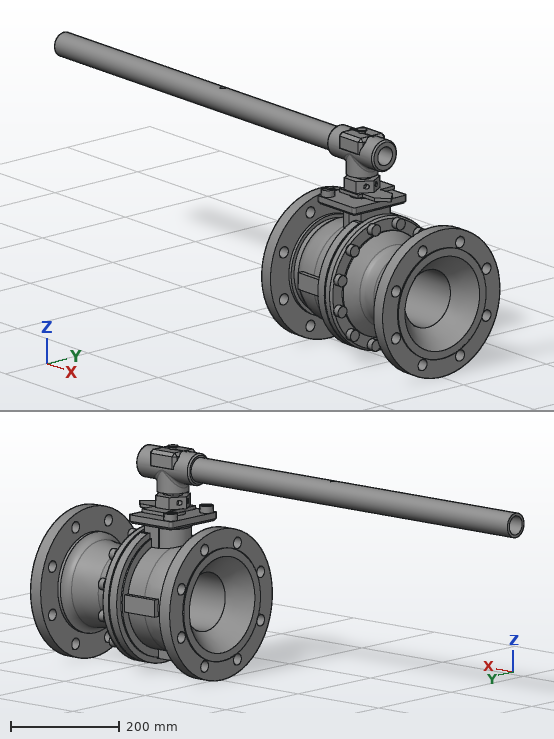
import cadquery as cq
import math


overall_length = 1078.0
overall_height = 426.0
face_to_face = 350.0
inlet_face_x = -122.0
outlet_face_x = inlet_face_x + face_to_face
handle_end_x = outlet_face_x - overall_length

flange_radius = 285.0 / 2
flange_thickness = 28.0
raised_face_radius = 212.0 / 2
raised_face_height = 2.7
flange_hole_diameter = 22.0
flange_hole_circle_radius = 119.0
flange_hole_count = 8
inlet_flange_back_x = inlet_face_x + flange_thickness
outlet_flange_back_x = outlet_face_x - flange_thickness

bore_radius = 111.0 / 2
mouth_radius = 181.0 / 2
mouth_depth = 42.0

inlet_hub_radius = 195.0 / 2
inlet_hub_end_x = inlet_flange_back_x + 6.0
throat_radius = 91.0
throat_end_x = -75.0
body_radius = 203.0 / 2
body_shoulder_x = -19.0
collar_radius = 116.0
collar_length = 3.0

joint_radius = 128.0
joint_start_x = 25.0
joint_split_x = 44.0
joint_end_x = 63.0
joint_edge_chamfer = 4.0
joint_groove_width = 2.0
joint_groove_depth = 3.0
joint_flat_z = 121.0
bolt_count = 12
bolt_circle_radius = 115.0
bolt_head_diameter = 22.0
bolt_head_height = 13.0

shoulder_radius = 101.0
shoulder_end_x = 66.0
cone_end_x = 87.0
cone_end_radius = shoulder_radius - (cone_end_x - shoulder_end_x)
waist_radius = 73.0
waist_x = 120.0
taper_end_radius = 82.0
taper_end_x = 178.0
outlet_hub_radius = 190.0 / 2
outlet_hub_start_x = 194.0

pad_width = 32.0
side_pad_start_x = -53.0
side_pad_reach = 110.0
bottom_pad_start_x = -20.0
bottom_pad_reach = 118.0

neck_diameter = 69.0
neck_flare = 8.0
neck_block_start_x = -3.0
neck_block_end_x = 39.0
neck_block_width = 71.0
neck_block_chamfer = 8.0
plate_bottom_z = 140.0
plate_top_z = 156.0
plate_length = 106.0
plate_width = 128.0
plate_corner_radius = 5.0
plate_bottom_chamfer = 4.0
screw_x = -39.0
screw_y = 50.0
screw_head_diameter = 26.0
screw_head_height = 13.0
screw_slot_width = 6.0
screw_slot_depth = 6.0
screw_slot_angle = 45

gland_diameter = 46.0
stop_plate_bottom_z = 163.0
stop_plate_top_z = 169.0
stop_plate_half_length = 27.0
stop_plate_half_width = 32.0
stop_wing_reach = 56.0
pointer_half_width = 22.0
pointer_tip_x = 83.0
nut_across_flats = 58.0
nut_top_z = 192.0
nut_hole_diameter = 9.0
nut_hole_depth = 13.0
nut_hole_y = 12.0
nut_hole_z = 181.0
stem_diameter = 36.0
stem_width_across_flats = 26.0

lever_axis_z = 247.0
lever_bottom_z = 198.0
head_diameter = 60.0
head_half_length = 66.0
head_edge_chamfer = 3.0
post_diameter = 59.0
post_blend_radius = 9.0
seam_margin = 1.0
block_length = 66.0
block_width = 64.0
block_bottom_z = 247.0
block_top_z = lever_axis_z + head_diameter / 2
block_chamfer = 6.0
slit_width = 1.6
slit_depth = 2.0
handle_diameter = 46.0
handle_bore_diameter = 36.0
handle_hole_x = handle_end_x + 453.0
handle_hole_diameter = 10.1
pin_diameter = 12.0
pin_head_diameter = 18.0
pin_head_height = 2.0
pin_top_z = overall_height - flange_radius


def x_cylinder(start_x, end_x, diameter, z):
    """Cylinder along X, centred on Y = 0 at the given height."""
    plane = cq.Workplane("YZ", origin=(start_x, 0, z))
    return plane.circle(diameter / 2).extrude(end_x - start_x)


def z_cylinder(bottom_z, top_z, diameter, x=0.0, y=0.0):
    """Cylinder along Z."""
    plane = cq.Workplane("XY", origin=(x, y, bottom_z))
    return plane.circle(diameter / 2).extrude(top_z - bottom_z)


def centred_box(start_x, end_x, width, bottom_z, top_z):
    """Box that is symmetric about Y = 0."""
    plane = cq.Workplane("XY", origin=((start_x + end_x) / 2, 0, bottom_z))
    return plane.rect(end_x - start_x, width).extrude(top_z - bottom_z)


def revolve_about_bore(outline):
    """Close an outline that starts and ends on the X axis and turn it about that axis."""
    return outline.close().revolve(360, (0, 0, 0), (1, 0, 0))


def circle_of_pegs(start_x, length, circle_radius, diameter, count):
    """Cylinders along X around the bore, straddling the vertical centre plane."""
    half_step = 180 / count
    return (
        cq.Workplane("YZ", origin=(start_x, 0, 0))
        .polarArray(circle_radius, half_step, 360, count)
        .circle(diameter / 2)
        .extrude(length)
    )


def make_valve_outside():
    """Turned outside of body, bolted joint and end piece."""
    inlet_step_x = inlet_face_x + raised_face_height
    outlet_step_x = outlet_face_x - raised_face_height
    groove_start_x = joint_split_x - joint_groove_width / 2
    groove_end_x = joint_split_x + joint_groove_width / 2
    groove_radius = joint_radius - joint_groove_depth

    outline = (
        cq.Workplane("XY")
        .moveTo(inlet_face_x, 0)
        .lineTo(inlet_face_x, raised_face_radius)
        .lineTo(inlet_step_x, raised_face_radius)
        .lineTo(inlet_step_x, flange_radius)
        .lineTo(inlet_flange_back_x, flange_radius)
        .lineTo(inlet_flange_back_x, inlet_hub_radius)
        .lineTo(inlet_hub_end_x, inlet_hub_radius)
        .lineTo(inlet_hub_end_x, throat_radius)
        .lineTo(throat_end_x, throat_radius)
        .spline([(body_shoulder_x, body_radius)], tangents=[(1, 1), (1, 0)], includeCurrent=True)
        .lineTo(joint_start_x - collar_length, body_radius)
        .lineTo(joint_start_x - collar_length, collar_radius)
        .lineTo(joint_start_x, collar_radius)
        .lineTo(joint_start_x, joint_radius)
        .lineTo(groove_start_x, joint_radius)
        .lineTo(groove_start_x, groove_radius)
        .lineTo(groove_end_x, groove_radius)
        .lineTo(groove_end_x, joint_radius)
        .lineTo(joint_end_x - joint_edge_chamfer, joint_radius)
        .lineTo(joint_end_x, joint_radius - joint_edge_chamfer)
        .lineTo(joint_end_x, shoulder_radius)
        .lineTo(shoulder_end_x, shoulder_radius)
        .lineTo(cone_end_x, cone_end_radius)
        .spline([(waist_x, waist_radius)], tangents=[(1, -1), (1, 0)], includeCurrent=True)
        .lineTo(taper_end_x, taper_end_radius)
        .tangentArcPoint((outlet_hub_start_x, outlet_hub_radius), relative=False)
        .lineTo(outlet_flange_back_x, outlet_hub_radius)
        .lineTo(outlet_flange_back_x, flange_radius)
        .lineTo(outlet_step_x, flange_radius)
        .lineTo(outlet_step_x, raised_face_radius)
        .lineTo(outlet_face_x, raised_face_radius)
        .lineTo(outlet_face_x, 0)
    )
    joint_flat = centred_box(
        joint_start_x - collar_length, joint_split_x, 2 * joint_radius, joint_flat_z, joint_radius
    )
    return revolve_about_bore(outline).cut(joint_flat)


def make_flow_passage():
    """Straight bore with a conical mouth at both ends."""
    outline = (
        cq.Workplane("XY")
        .moveTo(inlet_face_x, 0)
        .lineTo(inlet_face_x, mouth_radius)
        .lineTo(inlet_face_x + mouth_depth, bore_radius)
        .lineTo(outlet_face_x - mouth_depth, bore_radius)
        .lineTo(outlet_face_x, mouth_radius)
        .lineTo(outlet_face_x, 0)
    )
    return revolve_about_bore(outline)


def make_flange_holes():
    """Bolt holes through both end flanges."""
    holes = cq.Workplane("XY")
    for start_x in (inlet_face_x, outlet_flange_back_x):
        holes = holes.add(
            circle_of_pegs(
                start_x,
                flange_thickness,
                flange_hole_circle_radius,
                flange_hole_diameter,
                flange_hole_count,
            )
        )
    return holes.combine()


def make_body_pads():
    """Flat pads on both sides and the underside of the body."""
    half_width = pad_width / 2
    side_pads = centred_box(
        side_pad_start_x, joint_start_x, 2 * side_pad_reach, -half_width, half_width
    )
    bottom_pad = centred_box(bottom_pad_start_x, joint_start_x, pad_width, -bottom_pad_reach, 0)
    return side_pads.union(bottom_pad)


def make_neck():
    """Round neck, flared under the mounting plate, with a block toward the joint."""
    neck = z_cylinder(0, plate_bottom_z, neck_diameter)
    flare_taper = -45
    flare = (
        cq.Workplane("XY", origin=(0, 0, plate_bottom_z - neck_flare))
        .circle(neck_diameter / 2)
        .extrude(neck_flare, taper=flare_taper)
    )
    block = centred_box(
        neck_block_start_x, neck_block_end_x, neck_block_width, 0, plate_bottom_z
    )
    block = block.edges("|Z and <X").chamfer(neck_block_chamfer)
    return neck.union(flare).union(block)


def make_mounting_plate():
    """Rectangular plate with two slotted stop screws on its inlet side."""
    plate = centred_box(
        -plate_length / 2, plate_length / 2, plate_width, plate_bottom_z, plate_top_z
    )
    plate = plate.edges("|Z").fillet(plate_corner_radius)
    plate = plate.faces("<Z").chamfer(plate_bottom_chamfer)
    screw_top_z = plate_top_z + screw_head_height
    for y in (-screw_y, screw_y):
        head = z_cylinder(plate_top_z, screw_top_z, screw_head_diameter, screw_x, y)
        slot = (
            cq.Workplane("XY", origin=(screw_x, y, screw_top_z))
            .transformed(rotate=(0, 0, screw_slot_angle))
            .rect(screw_head_diameter, screw_slot_width)
            .extrude(-screw_slot_depth)
        )
        plate = plate.union(head.cut(slot))
    return plate


def make_stop_plate():
    """Thin plate with a 45 degree pointer toward the outlet and a wing on the +Y side."""
    pointer_base_x = pointer_tip_x - pointer_half_width
    outline = [
        (-stop_plate_half_length, -stop_plate_half_width),
        (stop_plate_half_length, -stop_plate_half_width),
        (stop_plate_half_length, -pointer_half_width),
        (pointer_base_x, -pointer_half_width),
        (pointer_tip_x, 0),
        (pointer_base_x, pointer_half_width),
        (stop_plate_half_length, pointer_half_width),
        (stop_plate_half_length, stop_wing_reach),
        (-stop_plate_half_length, stop_wing_reach),
    ]
    plane = cq.Workplane("XY", origin=(0, 0, stop_plate_bottom_z))
    return plane.polyline(outline).close().extrude(stop_plate_top_z - stop_plate_bottom_z)


def make_nut():
    """Hexagon nut, corners on the X axis, with two blind holes beside each of those corners."""
    nut_across_corners = nut_across_flats / math.cos(math.pi / 6)
    nut = (
        cq.Workplane("XY", origin=(0, 0, stop_plate_top_z))
        .polygon(6, nut_across_corners)
        .extrude(nut_top_z - stop_plate_top_z)
    )
    for corner_x in (-nut_across_corners / 2, nut_across_corners / 2):
        hole_end_x = corner_x - math.copysign(nut_hole_depth, corner_x)
        hole = x_cylinder(corner_x, hole_end_x, nut_hole_diameter, nut_hole_z)
        for y in (-nut_hole_y, nut_hole_y):
            nut = nut.cut(hole.translate((0, y, 0)))
    return nut


def make_stem_stack():
    """Gland, stop plate, hexagon nut and flatted stem between neck and lever."""
    gland = z_cylinder(plate_top_z, stop_plate_bottom_z, gland_diameter)
    stem = z_cylinder(nut_top_z, lever_bottom_z, stem_diameter).intersect(
        centred_box(
            -stem_diameter, stem_diameter, stem_width_across_flats, nut_top_z, lever_bottom_z
        )
    )
    return gland.union(make_stop_plate()).union(make_nut()).union(stem)


def make_lever_head():
    """Horizontal barrel on a round post, with a chamfered clamp block on top."""
    barrel = x_cylinder(-head_half_length, head_half_length, head_diameter, lever_axis_z)
    barrel = barrel.faces("<X or >X").chamfer(head_edge_chamfer)
    head = barrel.union(z_cylinder(lever_bottom_z, lever_axis_z, post_diameter))
    barrel_bottom_z = lever_axis_z - head_diameter / 2
    seam_region = cq.selectors.BoxSelector(
        (-post_diameter, -post_diameter, barrel_bottom_z - seam_margin),
        (post_diameter, post_diameter, lever_axis_z - seam_margin),
        boundingbox=True,
    )
    head = head.edges(seam_region).fillet(post_blend_radius)
    block = centred_box(
        -block_length / 2, block_length / 2, block_width, block_bottom_z, block_top_z
    )
    block = block.edges("|Z or >Z").chamfer(block_chamfer)
    slit = centred_box(
        -block_length / 2, block_length / 2, slit_width, block_top_z - slit_depth, block_top_z
    )
    return head.union(block).cut(slit)


def make_lever():
    """Lever head with its tubular handle and the pin that locks the tube."""
    tube = x_cylinder(handle_end_x, 0, handle_diameter, lever_axis_z)
    bore = x_cylinder(handle_end_x, head_half_length, handle_bore_diameter, lever_axis_z)
    handle_top_z = lever_axis_z + handle_diameter / 2
    hang_hole = z_cylinder(lever_axis_z, handle_top_z, handle_hole_diameter, handle_hole_x)
    pin = z_cylinder(lever_bottom_z, pin_top_z, pin_diameter)
    pin_head = z_cylinder(pin_top_z - pin_head_height, pin_top_z, pin_head_diameter)
    lever = make_lever_head().union(tube).cut(bore).cut(hang_hole)
    return lever.union(pin).union(pin_head)


joint_bolts = circle_of_pegs(
    joint_end_x, bolt_head_height, bolt_circle_radius, bolt_head_diameter, bolt_count
)

valve = make_valve_outside().union(make_body_pads()).union(make_neck())
valve = valve.cut(make_flow_passage()).cut(make_flange_holes()).union(joint_bolts)

result = (
    valve.union(make_mounting_plate())
    .union(make_stem_stack())
    .union(make_lever())
)